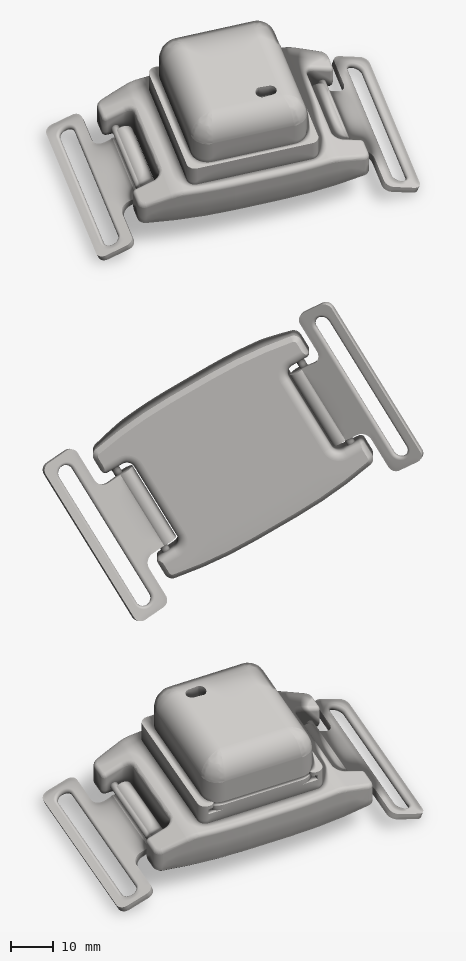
import cadquery as cq
import math


base_height = 10.0
base_half_length = 28.15
side_half_width = 20.0
side_straight_half_length = 5.5
end_half_width = 17.75
flat_top_half_length = 17.7
top_bend_radius = 8.75
slope_angle = 20.0
end_corner_radius = 2.0
edge_radius = 1.0
bottom_chamfer = 1.2

notch_half_width = 11.7
notch_wall_y = 21.05
notch_corner_radius = 2.0
notch_bottom_radius = 2.2

pin_diameter = 2.0
pin_y = 25.15
pin_z = 3.0

cap_half_width = 16.6
cap_half_length = 14.0
cap_top = 27.0
cap_corner_radius = 4.0
cap_top_radius = 5.5

holder_left = -cap_half_width
holder_right = 17.6
holder_half_length = 16.0
holder_top = 15.4
holder_corner_radius = 2.0
slot_floor_z = 12.85
lip_bottom_z = 14.35
lip_depth = 1.6
lip_y = cap_half_length - lip_depth
lip_end_radius = 1.0

window_x = 9.0
window_y = 6.4
window_round_radius = 1.5
window_wide_half_width = 1.65
window_straight = 2.5
window_end_rise = 1.0
window_depth = 3.15

plate_thickness = 1.6
plate_tip_y = 39.4
bar_half_width = 22.0
bar_depth = 9.2
bar_corner_radius = 2.0
neck_half_width = 9.9
neck_fillet_radius = 2.5
strap_slot_half_width = 19.4
strap_slot_height = 3.7
strap_slot_offset = 4.4
strap_slot_rounding = 0.75

barrel_radius = 2.3
barrel_y = 23.65
barrel_z = 2.6
barrel_fillet_radius = 2.0
hook_slot_height = 2.4

ENDS = (1, -1)
MARGIN = 0.1
OVERSHOOT = 0.8


def box_between(x0, x1, y0, y1, z0, z1):
    return cq.Workplane("XY").box(x1 - x0, y1 - y0, z1 - z0, centered=False).translate((x0, y0, z0))


def edges_inside(x0, x1, y0, y1, z0, z1):
    """Selector for the edges whose centres lie in a zone, with a small margin around it."""
    return cq.selectors.BoxSelector(
        (x0 - MARGIN, y0 - MARGIN, z0 - MARGIN), (x1 + MARGIN, y1 + MARGIN, z1 + MARGIN)
    )


def edge_near(x, y, z):
    return cq.selectors.NearestToPointSelector((x, y, z))




def base_outline():
    """Plan of the base: straight in the middle of each side, curving in towards the ends."""
    bow = side_half_width - end_half_width
    run = base_half_length - side_straight_half_length
    radius = (run**2 + bow**2) / (2 * bow)
    half_angle = math.asin(run / radius) / 2
    mid_x = side_half_width - radius * (1 - math.cos(half_angle))
    mid_y = side_straight_half_length + radius * math.sin(half_angle)
    return (
        cq.Workplane("XY")
        .moveTo(side_half_width, -side_straight_half_length)
        .lineTo(side_half_width, side_straight_half_length)
        .threePointArc((mid_x, mid_y), (end_half_width, base_half_length))
        .lineTo(-end_half_width, base_half_length)
        .threePointArc((-mid_x, mid_y), (-side_half_width, side_straight_half_length))
        .lineTo(-side_half_width, -side_straight_half_length)
        .threePointArc((-mid_x, -mid_y), (-end_half_width, -base_half_length))
        .lineTo(end_half_width, -base_half_length)
        .threePointArc((mid_x, -mid_y), (side_half_width, -side_straight_half_length))
        .close()
        .extrude(base_height)
        .edges("|Z and (>Y or <Y)")
        .fillet(end_corner_radius)
    )


def base_side_profile():
    """Side shape of the base: flat top, a bend, then a straight slope to each end."""
    slope = math.radians(slope_angle)
    bend_y = flat_top_half_length + top_bend_radius * math.sin(slope)
    bend_z = base_height - top_bend_radius * (1 - math.cos(slope))
    mid_y = flat_top_half_length + top_bend_radius * math.sin(slope / 2)
    mid_z = base_height - top_bend_radius * (1 - math.cos(slope / 2))
    end_z = bend_z - (base_half_length - bend_y) * math.tan(slope)
    return (
        cq.Workplane("YZ")
        .moveTo(-base_half_length, 0)
        .lineTo(base_half_length, 0)
        .lineTo(base_half_length, end_z)
        .lineTo(bend_y, bend_z)
        .threePointArc((mid_y, mid_z), (flat_top_half_length, base_height))
        .lineTo(-flat_top_half_length, base_height)
        .threePointArc((-mid_y, mid_z), (-bend_y, bend_z))
        .lineTo(-base_half_length, end_z)
        .close()
        .extrude(side_half_width, both=True)
    )


def notch_tool(end):
    y_near, y_far = sorted((end * notch_wall_y, end * (base_half_length + OVERSHOOT)))
    wall_side = "<Y" if end > 0 else ">Y"
    return (
        box_between(
            -notch_half_width, notch_half_width, y_near, y_far, -OVERSHOOT, base_height + OVERSHOOT
        )
        .edges("|Z")
        .edges(wall_side)
        .fillet(notch_corner_radius)
    )


def pin_rod(end):
    """Full-width rod on a pin's axis."""
    return (
        cq.Workplane("YZ")
        .center(end * pin_y, pin_z)
        .circle(pin_diameter / 2)
        .extrude(side_half_width, both=True)
    )


def make_base():
    base = base_outline().intersect(base_side_profile())
    base = base.faces("<Z").chamfer(bottom_chamfer)
    for end in ENDS:
        base = base.cut(notch_tool(end))
    for end in ENDS:
        base = base.edges(edge_near(0, end * notch_wall_y, 0)).fillet(notch_bottom_radius)
    between_ears = edges_inside(
        -notch_half_width, notch_half_width, -base_half_length, base_half_length, 0, base_height
    )
    base = base.edges("|Z").edges(between_ears).edges(">Y or <Y").fillet(edge_radius)
    base = base.edges(edge_near(side_half_width, 0, base_height)).fillet(edge_radius)
    for end in ENDS:
        base = base.cut(pin_rod(end))
    return base




def make_pin(end):
    """Cross pin whose ends are flush with the curved sides of the base."""
    return pin_rod(end).intersect(base_outline())




def make_holder():
    """Block with a T-shaped slot, open at -X, that takes the cap's foot and neck."""
    holder = box_between(
        holder_left, holder_right, -holder_half_length, holder_half_length, base_height, holder_top
    )
    holder = holder.edges("|Z").fillet(holder_corner_radius)
    foot_slot = box_between(
        holder_left, cap_half_width, -cap_half_length, cap_half_length, slot_floor_z, lip_bottom_z
    )
    neck_slot = box_between(holder_left, cap_half_width, -lip_y, lip_y, lip_bottom_z, holder_top)
    holder = holder.cut(foot_slot).cut(neck_slot)
    lip_ends = edges_inside(holder_left, holder_left, -lip_y, lip_y, lip_bottom_z, holder_top)
    return holder.edges("|Z").edges(lip_ends).fillet(lip_end_radius)




def cap_block(bottom, top):
    return box_between(
        -cap_half_width, cap_half_width, -cap_half_length, cap_half_length, bottom, top
    )


def cap_head():
    head = cap_block(holder_top, cap_top).faces(">Z").edges().fillet(cap_top_radius)
    return head.edges("|Z").fillet(cap_corner_radius)


def cap_neck():
    neck = box_between(
        lip_depth - cap_half_width, cap_half_width, -lip_y, lip_y, lip_bottom_z, holder_top
    )
    return neck.edges("|Z and <X").fillet(lip_end_radius)


def cap_foot():
    return cap_block(slot_floor_z, lip_bottom_z).edges("|Z").fillet(cap_corner_radius)


def cap_window():
    return (
        cq.Workplane("XY", origin=(window_x, window_y, cap_top - window_depth))
        .moveTo(window_round_radius, 0)
        .threePointArc((0, window_round_radius), (-window_round_radius, 0))
        .lineTo(-window_wide_half_width, -window_straight)
        .threePointArc(
            (0, -window_straight - window_end_rise), (window_wide_half_width, -window_straight)
        )
        .close()
        .extrude(window_depth)
    )


def make_cap():
    return cap_head().union(cap_neck()).union(cap_foot()).cut(cap_window())




def buckle_plate():
    """Flat T-shaped plate from the barrel's axis outwards along Y, with its top face at Z = 0."""
    length = (plate_tip_y - barrel_y) / math.cos(math.radians(slope_angle))
    bar_inner_y = length - bar_depth
    slot_y = length - strap_slot_offset
    bar = (
        box_between(-bar_half_width, bar_half_width, bar_inner_y, length, -plate_thickness, 0)
        .edges("|Z")
        .fillet(bar_corner_radius)
    )
    neck = box_between(-neck_half_width, neck_half_width, 0, bar_inner_y, -plate_thickness, 0)
    inner_corners = edges_inside(
        -neck_half_width, neck_half_width, bar_inner_y, bar_inner_y, -plate_thickness, 0
    )
    plate = bar.union(neck).edges("|Z").edges(inner_corners).fillet(neck_fillet_radius)
    strap_slot = (
        cq.Workplane("XY", origin=(0, slot_y, -plate_thickness))
        .slot2D(2 * strap_slot_half_width, strap_slot_height)
        .extrude(plate_thickness)
    )
    slot_rims = edges_inside(
        -strap_slot_half_width,
        strap_slot_half_width,
        slot_y - strap_slot_height / 2,
        slot_y + strap_slot_height / 2,
        -plate_thickness,
        0,
    )
    return plate.cut(strap_slot).faces("<Z or >Z").edges(slot_rims).fillet(strap_slot_rounding)


def barrel_web():
    """Fills the corner between the plate's top face and the barrel with a concave round."""
    reach = math.sqrt((barrel_radius + barrel_fillet_radius) ** 2 - barrel_fillet_radius**2)
    touch = barrel_radius / (barrel_radius + barrel_fillet_radius)
    half_turn = math.atan2(reach, barrel_fillet_radius) / 2
    arc_middle = (
        reach - barrel_fillet_radius * math.sin(half_turn),
        barrel_fillet_radius * (1 - math.cos(half_turn)),
    )
    return (
        cq.Workplane("YZ")
        .lineTo(reach, 0)
        .threePointArc(arc_middle, (touch * reach, touch * barrel_fillet_radius))
        .close()
        .extrude(neck_half_width, both=True)
    )


def hook_slot():
    """Slot that opens outwards and has its round inner end on the pin's axis."""
    half_height = hook_slot_height / 2
    mouth_y = pin_y + 2 * barrel_radius
    round_end = (
        cq.Workplane("YZ")
        .center(pin_y, pin_z)
        .circle(half_height)
        .extrude(neck_half_width, both=True)
    )
    mouth = box_between(
        -neck_half_width, neck_half_width, pin_y, mouth_y, pin_z - half_height, pin_z + half_height
    )
    return round_end.union(mouth)


def make_buckle(end):
    barrel = cq.Workplane("YZ").circle(barrel_radius).extrude(neck_half_width, both=True)
    buckle = buckle_plate().union(barrel).union(barrel_web())
    buckle = buckle.rotate((0, 0, 0), (1, 0, 0), -slope_angle)
    buckle = buckle.translate((0, barrel_y, barrel_z)).cut(hook_slot())
    return buckle if end > 0 else buckle.mirror("XZ")


base = make_base()
holder = make_holder()
cap = make_cap()
pins = [make_pin(end) for end in ENDS]
buckles = [make_buckle(end) for end in ENDS]

bodies = [base, holder, cap, *pins, *buckles]
result = cq.Compound.makeCompound([body.solids().val() for body in bodies])